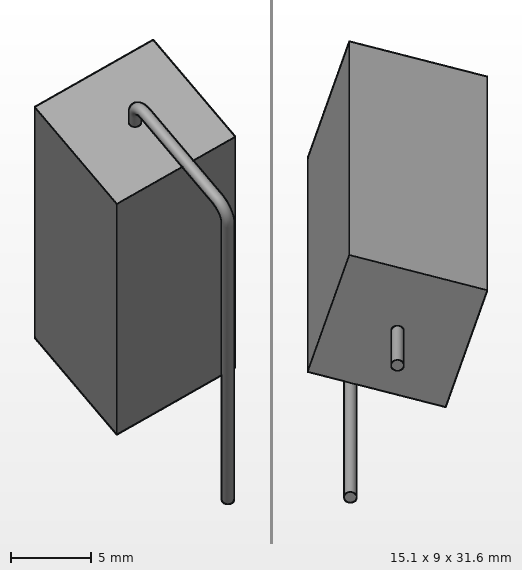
import cadquery as cq

body_side = 9.0
body_height = 25.0
lead_diameter = 0.8
lead_pitch = 10.16
lead_length_below = 4.0
lead_rise = 1.0
bend_radius = 1.2

lead_radius = lead_diameter / 2
bend_start_z = body_height + lead_rise
crossing_z = bend_start_z + bend_radius


def make_body():
    """Square block standing on Z = 0, centred on the lower lead."""
    return cq.Workplane("XY").rect(body_side, body_side).extrude(body_height)


def make_lower_lead():
    """Straight wire below the body."""
    return cq.Workplane("XY").circle(lead_radius).extrude(-lead_length_below)


def make_folded_lead():
    """Wire rising from the body, crossing over in +X and running down."""
    path = (
        cq.Workplane("XZ")
        .moveTo(0, body_height)
        .lineTo(0, bend_start_z)
        .tangentArcPoint((bend_radius, crossing_z), relative=False)
        .lineTo(lead_pitch - bend_radius, crossing_z)
        .tangentArcPoint((lead_pitch, bend_start_z), relative=False)
        .lineTo(lead_pitch, -lead_length_below)
    )
    return cq.Workplane("XY", origin=(0, 0, body_height)).circle(lead_radius).sweep(path)


result = make_body().union(make_lower_lead()).union(make_folded_lead())